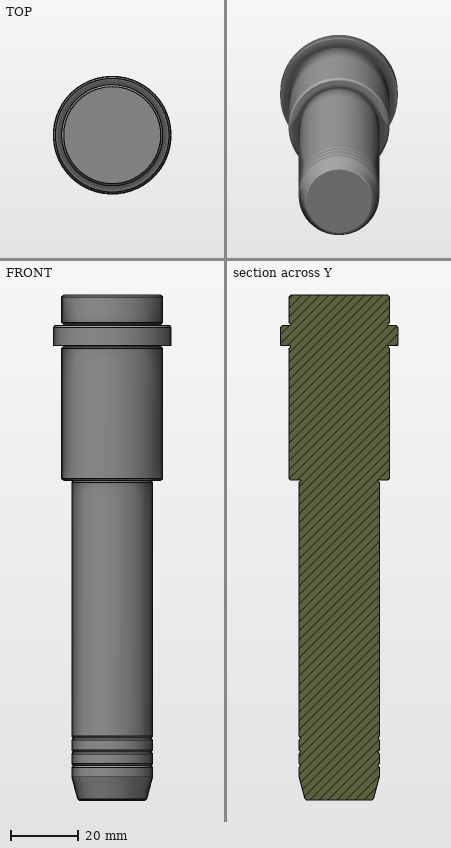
import cadquery as cq
import math

total_height = 150.0
collar_top = total_height - 9.0
collar_thickness = 6.0
collar_bottom = collar_top - collar_thickness
body_bottom = 95.0
taper_height = 7.0

collar_diameter = 35.0
body_diameter = 30.0
shank_diameter = 24.0
taper_angle = 15.0

edge_chamfer = 0.6
tip_chamfer = 0.5

relief_width = 0.9
relief_depth = 0.5
relief_floor = 0.5

ring_count = 3
ring_pitch = 4.0
ring_width = 1.2
ring_depth = 0.5
lowest_ring_center = 10.4


def cylinder(diameter, bottom, top):
    """Solid cylinder on the Z axis between two heights."""
    return cq.Workplane("XY").workplane(offset=bottom).circle(diameter / 2).extrude(top - bottom)


def cut_v_groove(solid, diameter, center, width, depth):
    """Cut a V-shaped ring groove into a cylinder of the given diameter."""
    radius = diameter / 2
    groove = (
        cq.Workplane("XZ")
        .moveTo(radius, center - width / 2)
        .lineTo(radius - depth, center)
        .lineTo(radius, center + width / 2)
        .close()
        .revolve(360, (0, 0, 0), (0, 1, 0))
    )
    return solid.cut(groove)


def cut_relief(solid, diameter, shoulder, direction):
    """Cut a relief along Z from a shoulder: a straight floor, then a slope back out."""
    radius = diameter / 2
    relief = (
        cq.Workplane("XZ")
        .moveTo(radius, shoulder)
        .lineTo(radius - relief_depth, shoulder)
        .lineTo(radius - relief_depth, shoulder + direction * relief_floor)
        .lineTo(radius, shoulder + direction * relief_width)
        .close()
        .revolve(360, (0, 0, 0), (0, 1, 0))
    )
    return solid.cut(relief)


body = cylinder(body_diameter, body_bottom, total_height).faces("<Z or >Z").chamfer(edge_chamfer)
body = cut_relief(body, body_diameter, collar_top, 1)
body = cut_relief(body, body_diameter, collar_bottom, -1)
collar = cylinder(collar_diameter, collar_bottom, collar_top).faces(">Z").chamfer(edge_chamfer)

shank = cylinder(shank_diameter, taper_height, body_bottom).faces(">Z").chamfer(edge_chamfer)
for ring in range(ring_count):
    ring_center = lowest_ring_center + ring * ring_pitch
    shank = cut_v_groove(shank, shank_diameter, ring_center, ring_width, ring_depth)

tip_radius = shank_diameter / 2 - taper_height * math.tan(math.radians(taper_angle))
tip = (
    cq.Workplane("XZ")
    .lineTo(tip_radius, 0)
    .lineTo(shank_diameter / 2, taper_height)
    .lineTo(0, taper_height)
    .close()
    .revolve(360, (0, 0, 0), (0, 1, 0))
    .faces("<Z")
    .chamfer(tip_chamfer)
)

result = body.union(collar).union(shank).union(tip)